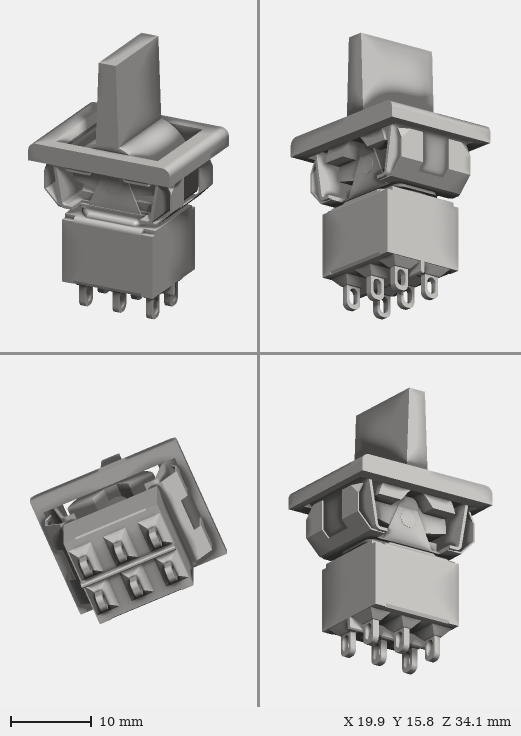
import cadquery as cq
import math

FRAME_X, FRAME_Y = 19.85, 15.8
FRAME_BOTTOM, FRAME_TOP = 20.3, 22.68
FRAME_EDGE_RADIUS = 1.02
OPENING_X, OPENING_Y = 14.55, 12.05
LIP_BEVEL = 0.82
LIP_BOTTOM = 21.35

PIVOT_Z = 17.5
PIN_DIAMETER = 2.2
PIN_PROTRUSION = 0.07
ROCKER_RADIUS = 5.98
ROCKER_WIDTH = 11.4
ROCKER_CORE_WIDTH = 6.95
CAP_BOTTOM = 18.85
CORE_EDGE_Z = 16.95
CORE_LOWEST_Z = 15.65
PADDLE_TOP = 34.15
PADDLE_TOP_HALF, PADDLE_BASE_HALF = 1.2, 1.6
ARCH_BASE_HALF, ARCH_SHOULDER_HALF, ARCH_TOP_HALF = 2.42, 1.35, 0.85
ARCH_SHOULDER_Z, ARCH_TOP_Z = 20.08, 20.55

BRACKET_FLOOR_BOTTOM = 13.95
BRACKET_THICKNESS = 0.4
FLANGE_HALF = 8.88
BRACKET_FLOOR_HALF = 6.45
LEG_ANGLE = 9.8
BRACKET_BEND_RADIUS, FLANGE_BEND_RADIUS = 0.82, 1.1

SHEET = 0.2
CLIP_BOTTOM = 13.83
FLOOR_NOTCH_X = 9.5
CLIP_TONGUE_WIDTH, BRACKET_TONGUE_WIDTH = 7.65, 6.83
CLIP_WIDTH = 11.05
CLIP_FLOOR_HALF = 6.9
ARM_HALF = 8.9
ARM_TOP = 19.8
ARM_KNEE_Z = CLIP_BOTTOM + ARM_HALF - CLIP_FLOOR_HALF
ARM_GAP_WIDTH, ARM_GAP_BOTTOM = 4.2, 14.92
FLAP_SIZE, FLAP_INSET = 1.47, 0.72
EAR_FACE_Y = 3.72
EAR_BASE_HALF, EAR_TOP_HALF = 3.75, 1.47
TAB_RISE, TAB_TILT = 1.45, 25.0

BLOCK_DIAMETER, BLOCK_Y, BLOCK_TOP = 11.45, 6.3, 15.47
NECK_X, NECK_Y, NECK_CORNER, NECK_FLARE = 11.05, 6.5, 1.05, 0.2
COLLAR_X, COLLAR_Y, COLLAR_FLAT_X = 11.47, 9.85, 6.63
COLLAR_TOP = 13.4

BODY_X, BODY_Y = 12.7, 11.4
BODY_BOTTOM, BODY_TOP = 3.95, 12.77
SHOULDER_Z, SHOULDER_Y = 12.25, 9.85
RAIL_X, RAIL_ROUND = 9.55, 0.7
BOTTOM_BEVEL_HEIGHT, BOTTOM_BEVEL_DEPTH = 0.4, 0.17
FIN_THICKNESS, FIN_BOTTOM, FIN_CHAMFER = 0.55, 2.45, 0.17

TERMINAL_PITCH_X, TERMINAL_SPACING_Y = 4.68, 4.85
TERMINAL_THICKNESS, TERMINAL_WIDTH, TERMINAL_ROUND = 0.85, 2.1, 0.82
EYE_WIDTH, EYE_BOTTOM, EYE_TOP = 1.3, 0.58, 2.7
FOOT_X, FOOT_Y, FOOT_HEIGHT, FOOT_TAPER = 3.05, 4.15, 1.02, 42.0
FOOT_CORNER = 0.2


def box(x, y, z_low, z_high):
    """Box centred on the Z axis between two heights."""
    return cq.Workplane("XY").workplane(offset=z_low).rect(x, y).extrude(z_high - z_low)


def across_y(profile, width):
    """Extrude an XZ profile symmetrically to a total width along Y."""
    return profile.extrude(width / 2, both=True)


def symmetric_profile(right_half):
    """Closed XZ outline from its +X half, listed from bottom to top."""
    left_half = [(-x, z) for x, z in reversed(right_half)]
    return cq.Workplane("XZ").polyline(right_half + left_half).close()


def both_sides(shape, plane):
    """Shape joined with its mirror image."""
    return shape.union(shape.mirror(plane))


def make_frame():
    """Bezel whose opening narrows to a lip on the +X and -X sides, with a pocket for the bracket."""
    frame = box(FRAME_X, FRAME_Y, FRAME_BOTTOM, FRAME_TOP)
    frame = frame.faces(">Z").edges("|Y").fillet(FRAME_EDGE_RADIUS)
    throat_half = OPENING_X / 2 - LIP_BEVEL
    opening = symmetric_profile(
        [
            (throat_half, LIP_BOTTOM),
            (throat_half, FRAME_TOP - LIP_BEVEL),
            (OPENING_X / 2, FRAME_TOP),
        ]
    )
    flange_pocket = box(2 * FLANGE_HALF, OPENING_Y, FRAME_BOTTOM, LIP_BOTTOM)
    return frame.cut(across_y(opening, OPENING_Y)).cut(flange_pocket)


def rocker_profile(bottom_z, lowest_z):
    """Circular rocker outline whose underside slopes down to the middle."""
    half = math.sqrt(ROCKER_RADIUS**2 - (bottom_z - PIVOT_Z) ** 2)
    return (
        cq.Workplane("XZ")
        .moveTo(-half, bottom_z)
        .threePointArc((0, PIVOT_Z + ROCKER_RADIUS), (half, bottom_z))
        .lineTo(0, lowest_z)
        .close()
    )


def make_rocker():
    """Full-width cap and paddle over a narrower core that turns on the pin."""
    caps = across_y(rocker_profile(CAP_BOTTOM, CAP_BOTTOM), ROCKER_WIDTH)
    arch = symmetric_profile(
        [
            (ARCH_BASE_HALF, CAP_BOTTOM),
            (ARCH_SHOULDER_HALF, ARCH_SHOULDER_Z),
            (ARCH_TOP_HALF, ARCH_TOP_Z),
        ]
    )
    caps = caps.cut(across_y(arch, ROCKER_WIDTH))
    core = across_y(rocker_profile(CORE_EDGE_Z, CORE_LOWEST_Z), ROCKER_CORE_WIDTH)
    base_z = PIVOT_Z + math.sqrt(ROCKER_RADIUS**2 - PADDLE_BASE_HALF**2)
    paddle = symmetric_profile(
        [
            (PADDLE_BASE_HALF, ARCH_TOP_Z),
            (PADDLE_BASE_HALF, base_z),
            (PADDLE_TOP_HALF, PADDLE_TOP),
        ]
    )
    pin = cq.Workplane("XZ").center(0, PIVOT_Z).circle(PIN_DIAMETER / 2)
    return (
        caps.union(core)
        .union(across_y(paddle, ROCKER_WIDTH))
        .union(across_y(pin, 2 * (EAR_FACE_Y + PIN_PROTRUSION)))
    )


def notch_floor(sheet, tongue_width):
    """Narrow the middle stretch of a sheet floor to a tongue."""
    notch = box(FLOOR_NOTCH_X, OPENING_Y, CLIP_BOTTOM, BLOCK_TOP)
    return sheet.cut(notch.cut(box(FLOOR_NOTCH_X, tongue_width, CLIP_BOTTOM, BLOCK_TOP)))


def trough(floor_half, floor_z, flange_z, bend_radius, rim_radius):
    """Solid filling of a trough with leaning walls and flanged rims, bends rounded."""
    rim_half = floor_half + (flange_z - floor_z) * math.tan(math.radians(LEG_ANGLE))
    profile = symmetric_profile(
        [
            (floor_half, floor_z),
            (rim_half, flange_z),
            (FLANGE_HALF, flange_z),
            (FLANGE_HALF, FRAME_TOP),
        ]
    )
    solid = across_y(profile, OPENING_Y).faces("<Z").edges("|Y").fillet(bend_radius)
    rims = cq.selectors.BoxSelector(
        (-rim_half - SHEET, -OPENING_Y, flange_z - SHEET),
        (rim_half + SHEET, OPENING_Y, flange_z + SHEET),
    )
    return solid.edges("|Y").edges(rims).fillet(rim_radius)


def make_bracket():
    """Bent strip left between two nested troughs."""
    lean = math.radians(LEG_ANGLE)
    inner_half = BRACKET_FLOOR_HALF + BRACKET_THICKNESS * (math.tan(lean) - 1 / math.cos(lean))
    outer = trough(
        BRACKET_FLOOR_HALF,
        BRACKET_FLOOR_BOTTOM,
        LIP_BOTTOM - BRACKET_THICKNESS,
        BRACKET_BEND_RADIUS,
        FLANGE_BEND_RADIUS,
    )
    inner = trough(
        inner_half,
        BRACKET_FLOOR_BOTTOM + BRACKET_THICKNESS,
        LIP_BOTTOM,
        BRACKET_BEND_RADIUS - BRACKET_THICKNESS,
        FLANGE_BEND_RADIUS + BRACKET_THICKNESS,
    )
    return notch_floor(outer.cut(inner), BRACKET_TONGUE_WIDTH)


def make_corner_flap():
    """Folded-in top corner of the snap arm on the -X, -Y side."""
    side_y = -CLIP_WIDTH / 2
    fold_top = cq.Vector(-ARM_HALF, side_y + FLAP_SIZE, ARM_TOP)
    fold_side = cq.Vector(-ARM_HALF, side_y, ARM_TOP - FLAP_SIZE)
    tip = cq.Vector(-ARM_HALF + FLAP_INSET, side_y, ARM_TOP)
    normal = (fold_side - fold_top).cross(tip - fold_top)
    face = cq.Face.makeFromWires(cq.Wire.makePolygon([fold_top, fold_side, tip], close=True))
    return cq.Workplane(cq.Solid.extrudeLinear(face, normal.normalized() * -SHEET))


def make_arm():
    """Snap arm on the -X side, including half of the clip floor."""
    inner_half = ARM_HALF - SHEET
    bend = SHEET * (math.sqrt(2) - 1)
    profile = (
        cq.Workplane("XZ")
        .moveTo(0, CLIP_BOTTOM)
        .lineTo(-CLIP_FLOOR_HALF, CLIP_BOTTOM)
        .lineTo(-ARM_HALF, ARM_KNEE_Z)
        .lineTo(-ARM_HALF, ARM_TOP)
        .lineTo(-inner_half, ARM_TOP)
        .lineTo(-inner_half, ARM_KNEE_Z + bend)
        .lineTo(-CLIP_FLOOR_HALF + bend, CLIP_BOTTOM + SHEET)
        .lineTo(0, CLIP_BOTTOM + SHEET)
        .close()
    )
    arm = across_y(profile, CLIP_WIDTH)
    arm = arm.cut(box(2 * ARM_HALF, ARM_GAP_WIDTH, ARM_GAP_BOTTOM, ARM_TOP))
    corner = (
        cq.Workplane("YZ")
        .workplane(offset=-ARM_HALF)
        .moveTo(-CLIP_WIDTH / 2, ARM_TOP)
        .lineTo(-CLIP_WIDTH / 2 + FLAP_SIZE, ARM_TOP)
        .lineTo(-CLIP_WIDTH / 2, ARM_TOP - FLAP_SIZE)
        .close()
        .extrude(SHEET)
    )
    arm = arm.cut(both_sides(corner, "XZ"))
    return arm.union(both_sides(make_corner_flap(), "XZ"))


def make_ear():
    """Pivot ear on the -Y side with its outward-tilted rounded tab."""
    plate = symmetric_profile([(EAR_BASE_HALF, CLIP_BOTTOM), (EAR_TOP_HALF, CAP_BOTTOM)])
    plate = plate.extrude(-SHEET).translate((0, -EAR_FACE_Y, 0))
    tab = (
        cq.Workplane("XZ", origin=(0, -EAR_FACE_Y, CAP_BOTTOM))
        .moveTo(-EAR_TOP_HALF, -SHEET)
        .lineTo(-EAR_TOP_HALF, 0)
        .threePointArc((0, TAB_RISE), (EAR_TOP_HALF, 0))
        .lineTo(EAR_TOP_HALF, -SHEET)
        .close()
        .extrude(-SHEET)
        .rotate((0, -EAR_FACE_Y, CAP_BOTTOM), (1, -EAR_FACE_Y, CAP_BOTTOM), TAB_TILT)
    )
    return plate.union(tab)


def make_clip():
    """Sheet clip with a snap arm on each X side and an ear on each Y side."""
    clip = both_sides(make_arm(), "YZ")
    return notch_floor(clip, CLIP_TONGUE_WIDTH).union(both_sides(make_ear(), "XZ"))


def make_bushing():
    """Round-ended block over a flared neck and a rounded collar."""
    block = cq.Workplane("XY").workplane(offset=CLIP_BOTTOM).circle(BLOCK_DIAMETER / 2)
    block = block.extrude(BLOCK_TOP - CLIP_BOTTOM)
    block = block.intersect(box(BLOCK_DIAMETER, BLOCK_Y, CLIP_BOTTOM, BLOCK_TOP))
    neck_height = CLIP_BOTTOM - COLLAR_TOP
    neck = (
        cq.Workplane("XY")
        .workplane(offset=CLIP_BOTTOM)
        .sketch()
        .rect(NECK_X, NECK_Y)
        .vertices()
        .fillet(NECK_CORNER)
        .finalize()
        .extrude(-neck_height, taper=-math.degrees(math.atan(NECK_FLARE / neck_height)))
    )
    flat = COLLAR_FLAT_X / 2
    collar = (
        cq.Workplane("XY")
        .workplane(offset=SHOULDER_Z)
        .moveTo(-flat, -COLLAR_Y / 2)
        .lineTo(flat, -COLLAR_Y / 2)
        .threePointArc((COLLAR_X / 2, 0), (flat, COLLAR_Y / 2))
        .lineTo(-flat, COLLAR_Y / 2)
        .threePointArc((-COLLAR_X / 2, 0), (-flat, -COLLAR_Y / 2))
        .close()
        .extrude(COLLAR_TOP - SHOULDER_Z)
        .faces(">Z")
        .edges()
        .fillet(COLLAR_TOP - BODY_TOP)
    )
    return block.union(neck).union(collar)


def make_housing():
    """Rectangular body with rounded top rails, bottom bevels and a fin between the terminal rows."""
    body = box(BODY_X, BODY_Y, BODY_BOTTOM, SHOULDER_Z)
    rail_clearance = box(RAIL_X, BODY_Y, SHOULDER_Z - RAIL_ROUND, SHOULDER_Z)
    rail = box(RAIL_X, BODY_Y, BODY_BOTTOM, BODY_TOP).faces(">Z").edges("|X").fillet(RAIL_ROUND)
    body = body.cut(rail_clearance).union(rail)
    body = body.union(box(BODY_X, SHOULDER_Y, BODY_BOTTOM, BODY_TOP))
    bevel = (
        cq.Workplane("YZ")
        .moveTo(-BODY_Y / 2, BODY_BOTTOM)
        .lineTo(-BODY_Y / 2, BODY_BOTTOM + BOTTOM_BEVEL_HEIGHT)
        .lineTo(-BODY_Y / 2 + BOTTOM_BEVEL_DEPTH, BODY_BOTTOM)
        .close()
        .extrude(RAIL_X / 2, both=True)
    )
    body = body.cut(both_sides(bevel, "XZ"))
    fin = box(BODY_X, FIN_THICKNESS, FIN_BOTTOM, BODY_BOTTOM)
    return body.union(fin.faces("<Z").edges("|X").chamfer(FIN_CHAMFER))


def make_terminal():
    """Solder lug with a long eye and a tapered foot against the housing."""
    lug = box(TERMINAL_THICKNESS, TERMINAL_WIDTH, 0, BODY_BOTTOM)
    lug = lug.faces("<Z").edges("|X").fillet(TERMINAL_ROUND)
    eye = (
        cq.Workplane("YZ")
        .center(0, (EYE_BOTTOM + EYE_TOP) / 2)
        .slot2D(EYE_TOP - EYE_BOTTOM, EYE_WIDTH, 90)
        .extrude(TERMINAL_THICKNESS / 2, both=True)
    )
    foot = (
        cq.Workplane("XY")
        .workplane(offset=BODY_BOTTOM)
        .rect(FOOT_X, FOOT_Y)
        .extrude(-FOOT_HEIGHT, taper=FOOT_TAPER)
        .faces("<Z")
        .edges()
        .fillet(FOOT_CORNER)
    )
    return lug.cut(eye).union(foot)


result = make_housing().union(make_bushing()).union(make_clip()).union(make_bracket())
result = result.union(make_frame()).union(make_rocker())
terminal = make_terminal()
for column in (-1, 0, 1):
    for row in (-0.5, 0.5):
        place = (column * TERMINAL_PITCH_X, row * TERMINAL_SPACING_Y, 0)
        result = result.union(terminal.translate(place))